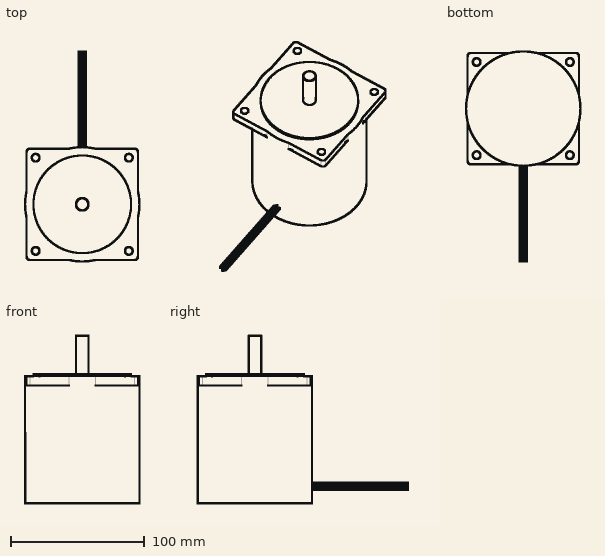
import cadquery as cq

body_diameter = 85.6
body_length = 95.02

flange_width = 83.3
flange_thickness = 7.11
flange_corner_radius = 2.54
mount_hole_spacing = 69.6
mount_hole_diameter = 5.59

pilot_diameter = 73.03
pilot_height = 1.52
shaft_diameter = 9.53
overall_height = 125.22
shaft_chamfer = 0.25

wire_diameter = 1.27
wire_end_y = 114.3
wire_center_z = 12.7
wire_offset = 2.03
wire_embedded_length = 5.0


def make_body():
    return cq.Workplane("XY").circle(body_diameter / 2).extrude(body_length)


def make_flange():
    return (
        cq.Workplane("XY")
        .workplane(offset=body_length - flange_thickness)
        .rect(flange_width, flange_width)
        .extrude(flange_thickness)
        .edges("|Z")
        .fillet(flange_corner_radius)
    )


def make_pilot():
    return (
        cq.Workplane("XY")
        .workplane(offset=body_length)
        .circle(pilot_diameter / 2)
        .extrude(pilot_height)
    )


def make_shaft():
    return (
        cq.Workplane("XY")
        .workplane(offset=body_length)
        .circle(shaft_diameter / 2)
        .extrude(overall_height - body_length)
        .faces(">Z")
        .chamfer(shaft_chamfer)
    )


def make_mount_holes():
    """Cutters for the four through holes at the flange corners, outside the body wall."""
    return (
        cq.Workplane("XY")
        .workplane(offset=body_length - flange_thickness)
        .rect(mount_hole_spacing, mount_hole_spacing, forConstruction=True)
        .vertices()
        .circle(mount_hole_diameter / 2)
        .extrude(flange_thickness)
    )


def make_wires():
    """Wires start inside the body so that each one joins it along its full section."""
    diamond = [
        (wire_offset, 0),
        (0, wire_offset),
        (-wire_offset, 0),
        (0, -wire_offset),
    ]
    wire_start_y = body_diameter / 2 - wire_embedded_length
    return (
        cq.Workplane("XZ", origin=(0, wire_start_y, wire_center_z))
        .pushPoints(diamond)
        .circle(wire_diameter / 2)
        .extrude(wire_start_y - wire_end_y)
    )


result = (
    make_body()
    .union(make_flange())
    .union(make_pilot())
    .union(make_shaft())
    .cut(make_mount_holes())
    .union(make_wires())
)